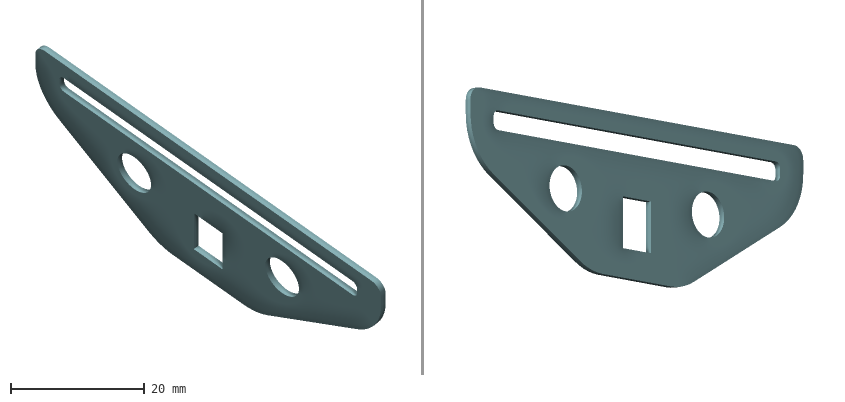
import cadquery as cq
import math

plate_width = 72.0
plate_height = 25.0
plate_thickness = 1.0
bottom_edge_width = 20.0
slope_angle = 30.0
top_corner_radius = 2.0
lower_corner_radius = 10.0

slot_width = 62.0
slot_height = 3.0
slot_top_margin = 3.0
slot_corner_radius = 1.0

hole_diameter = 7.0
hole_spacing = 30.8
hole_depth_from_top = 13.0

window_width = 6.0
window_height = 7.9
window_bottom_margin = 4.5

half_width = plate_width / 2
top_z = plate_height / 2
bottom_z = -plate_height / 2
slope_run = (plate_width - bottom_edge_width) / 2
shoulder_z = bottom_z + slope_run * math.tan(math.radians(slope_angle))


def make_plate():
    """Flat plate with sloped lower sides and rounded corners."""
    outline = [
        (-half_width, top_z),
        (half_width, top_z),
        (half_width, shoulder_z),
        (bottom_edge_width / 2, bottom_z),
        (-bottom_edge_width / 2, bottom_z),
        (-half_width, shoulder_z),
    ]
    plate = (
        cq.Workplane("XZ")
        .polyline(outline)
        .close()
        .extrude(plate_thickness / 2, both=True)
    )
    lower_corners = plate.edges("|Y and (not >Z)")
    plate = lower_corners.fillet(lower_corner_radius)
    top_corners = plate.edges("|Y and >Z")
    return top_corners.fillet(top_corner_radius)


def rectangular_cutter(width, height, center_z):
    """Block centred on X = 0 that passes through the plate thickness."""
    return (
        cq.Workplane("XZ")
        .center(0, center_z)
        .rect(width, height)
        .extrude(plate_thickness, both=True)
    )


def make_slot():
    center_z = top_z - slot_top_margin - slot_height / 2
    slot = rectangular_cutter(slot_width, slot_height, center_z)
    return slot.edges("|Y").fillet(slot_corner_radius)


def make_window():
    center_z = bottom_z + window_bottom_margin + window_height / 2
    return rectangular_cutter(window_width, window_height, center_z)


def make_holes():
    hole_z = top_z - hole_depth_from_top
    return (
        cq.Workplane("XZ")
        .pushPoints([(side * hole_spacing / 2, hole_z) for side in (-1, 1)])
        .circle(hole_diameter / 2)
        .extrude(plate_thickness, both=True)
    )


result = make_plate().cut(make_slot()).cut(make_window()).cut(make_holes())